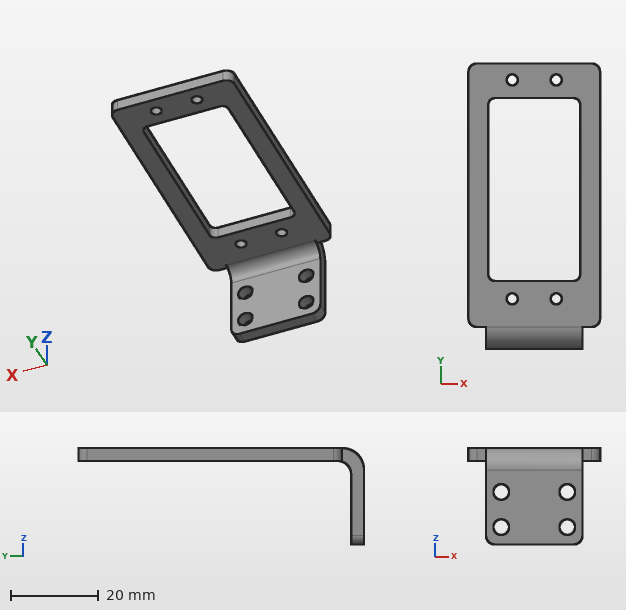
import cadquery as cq

length = 65.0
width = 30.0
height = 22.0
thickness = 3.0
corner_radius = 2.0

bend_radius = 5.0
inner_bend_radius = 3.0
flange_width = 22.0
flange_hole_diameter = 3.5
flange_hole_spacing_x = 15.0
flange_hole_spacing_z = 8.0
flange_upper_hole_depth = 10.0

window_width = 20.85
window_length = 41.55
window_radius = 1.5
window_back_margin = 7.9
plate_hole_diameter = 2.5
plate_hole_spacing_x = 10.0
plate_hole_spacing_y = 49.8
plate_hole_back_margin = 3.8

front_y = -length / 2
back_y = length / 2
top_z = height / 2
bottom_z = -height / 2
plate_length = length - bend_radius
plate_front_y = front_y + bend_radius
plate_bottom_z = top_z - thickness


def make_plate():
    """Flat plate with rounded corners, a rectangular window and four holes."""
    plate = (
        cq.Workplane("XY")
        .box(width, plate_length, thickness)
        .edges("|Z")
        .fillet(corner_radius)
        .translate((0, back_y - plate_length / 2, top_z - thickness / 2))
    )
    window_y = back_y - window_back_margin - window_length / 2
    window = (
        cq.Workplane("XY")
        .box(window_width, window_length, thickness)
        .edges("|Z")
        .fillet(window_radius)
        .translate((0, window_y, top_z - thickness / 2))
    )
    holes_y = back_y - plate_hole_back_margin - plate_hole_spacing_y / 2
    holes = (
        cq.Workplane("XY", origin=(0, holes_y, plate_bottom_z))
        .rarray(plate_hole_spacing_x, plate_hole_spacing_y, 2, 2)
        .circle(plate_hole_diameter / 2)
        .extrude(thickness)
    )
    return plate.cut(window).cut(holes)


def make_flange():
    """Tab bent down from the plate's front edge, with four holes."""
    root_y = plate_front_y + corner_radius
    bend_z = top_z - bend_radius
    inner_y = front_y + thickness
    flange = (
        cq.Workplane("YZ")
        .moveTo(root_y, top_z)
        .lineTo(plate_front_y, top_z)
        .radiusArc((front_y, bend_z), -bend_radius)
        .lineTo(front_y, bottom_z)
        .lineTo(inner_y, bottom_z)
        .lineTo(inner_y, plate_bottom_z - inner_bend_radius)
        .radiusArc((inner_y + inner_bend_radius, plate_bottom_z), inner_bend_radius)
        .lineTo(root_y, plate_bottom_z)
        .close()
        .extrude(flange_width / 2, both=True)
        .faces("<Z")
        .edges("|Y")
        .fillet(corner_radius)
    )
    holes_z = top_z - flange_upper_hole_depth - flange_hole_spacing_z / 2
    holes = (
        cq.Workplane("XZ", origin=(0, inner_y, holes_z))
        .rarray(flange_hole_spacing_x, flange_hole_spacing_z, 2, 2)
        .circle(flange_hole_diameter / 2)
        .extrude(thickness)
    )
    return flange.cut(holes)


result = make_plate().union(make_flange())